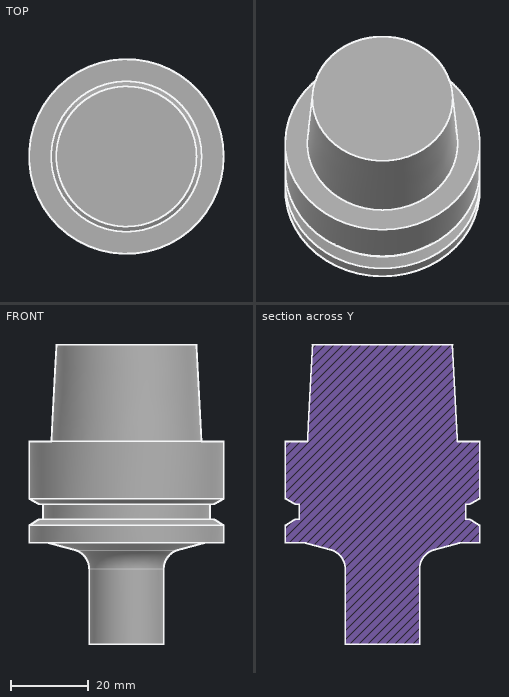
import cadquery as cq
import math

shank_top = 19.4
flange_bottom = 26.05
lower_rim_top = 30.5
groove_bottom = 32.1
groove_top = 35.9
upper_rim_bottom = 37.35
flange_top = 52.05
total_height = 76.9

flare_radius = 5.0

shank_diameter = 19.2
flange_diameter = 50.0
groove_edge_diameter = 44.9
groove_diameter = 43.0
taper_base_diameter = 38.6
taper_top_diameter = 36.0

cone_angle = math.radians(15)
neck_radius = shank_diameter / 2 + flare_radius * (1 - math.sin(cone_angle))
neck_top = shank_top + flare_radius * math.cos(cone_angle)
flange_cone_radius = neck_radius + (flange_bottom - neck_top) / math.tan(cone_angle)

profile = (
    cq.Workplane("XZ")
    .lineTo(shank_diameter / 2, 0)
    .lineTo(shank_diameter / 2, shank_top)
    .radiusArc((neck_radius, neck_top), flare_radius)
    .lineTo(flange_cone_radius, flange_bottom)
    .lineTo(flange_diameter / 2, flange_bottom)
    .lineTo(flange_diameter / 2, lower_rim_top)
    .lineTo(groove_edge_diameter / 2, groove_bottom)
    .lineTo(groove_diameter / 2, groove_bottom)
    .lineTo(groove_diameter / 2, groove_top)
    .lineTo(groove_edge_diameter / 2, groove_top)
    .lineTo(flange_diameter / 2, upper_rim_bottom)
    .lineTo(flange_diameter / 2, flange_top)
    .lineTo(taper_base_diameter / 2, flange_top)
    .lineTo(taper_top_diameter / 2, total_height)
    .lineTo(0, total_height)
    .close()
)

result = profile.revolve(360, (0, 0, 0), (0, 1, 0))